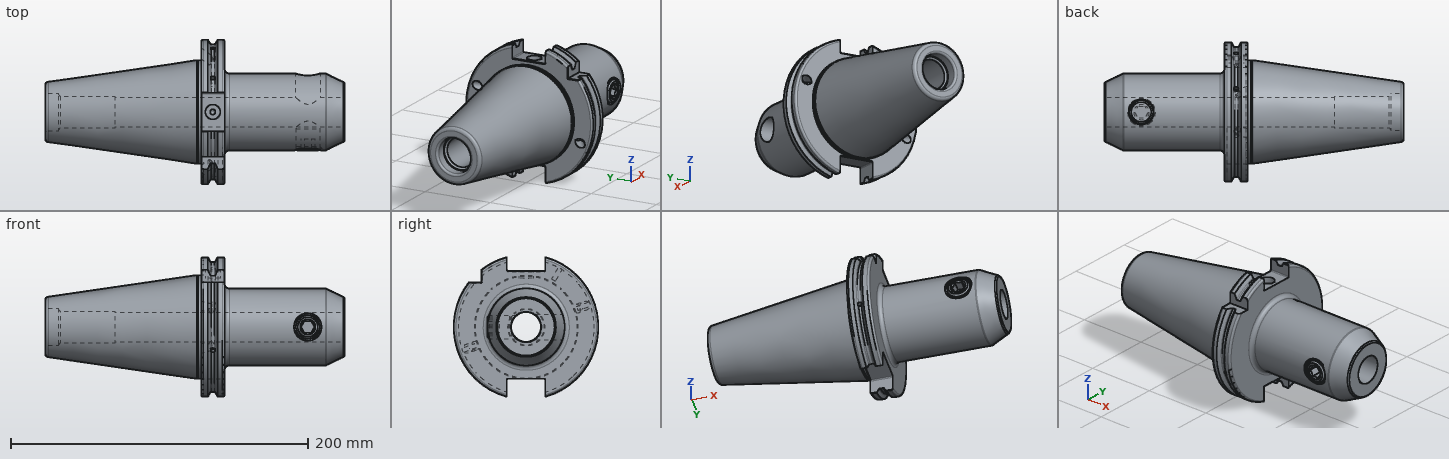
import cadquery as cq
import math


taper_length = 101.75
gauge_radius = 69.85 / 2
taper_ratio = 7 / 24
tail_radius = gauge_radius - taper_length * taper_ratio / 2
tail_fillet = 2.5

relief_start = 0.4
relief_width = 0.9
relief_radius = gauge_radius - 0.6

flange_left = 3.2
flange_right = 19.1
flange_radius = 97.5 / 2
rim_fillet = 1.5
groove_x = 11.1
groove_floor_radius = 91.25 / 2
groove_mouth_width = 6.7
groove_flank_angle = 30
groove_fillet = 1.0

nose_radius = 26.0
nose_end = 100.0
nose_cone_start = 87.0
nose_tip_radius = 20.2
nose_tip_chamfer = 1.0
nose_cone_end = nose_end - nose_tip_chamfer
shoulder_fillet = 1.5
neck_fillet = 3.0

tool_bore_radius = 10.0
thread_bore_radius = 10.5
thread_bore_depth = 47.0
pilot_radius = 12.5
pilot_depth = 8.7
pilot_fillet = 1.6
thread_lead_in = 1.5

slot_width = 25.7
upper_slot_floor = 37.7
lower_slot_floor = 35.0
slot_corner_fillet = 0.6
notch_offset = 30.0
face_bevel = 0.5
slot_mouth_chamfer = 0.5
chip_pocket_diameter = 10.0
chip_pocket_depth = 4.7
chip_drill_diameter = 3.6
drill_point_half_angle = 59

coolant_angle = 20
coolant_pitch_radius = 42.0
coolant_diameter = 6.0
coolant_slant = 38
coolant_depth = 9.0
groove_hole_diameter = 3.0
groove_hole_depth = 9.0
index_hole_angle = 60

screw_x = 75.0
screw_radius = 8.0
screw_length = 16.0
screw_chamfer = 1.3
recess_radius = 9.3
recess_depth = 1.7
far_hole_radius = 8.5
hex_across_flats = 8.0
hex_depth = 8.0
hex_lead_in_radius = 5.2

flange_middle = (flange_left + flange_right) / 2
flange_width = flange_right - flange_left
past_flange = 1.0
past_rim = 1.0
selection_margin = 0.1


def edges_between(x_start, x_end, radius):
    """Selector for edges lying within a span of X and within a radius of the axis."""
    reach = radius + selection_margin
    return cq.selectors.BoxSelector(
        (x_start - selection_margin, -reach, -reach),
        (x_end + selection_margin, reach, reach),
        boundingbox=True,
    )


def turned_body():
    rim_left = flange_left + rim_fillet
    rim_right = flange_right - rim_fillet
    rim_edge = flange_radius - rim_fillet
    profile = (
        cq.Workplane("XZ")
        .moveTo(-taper_length, 0)
        .lineTo(-taper_length, tail_radius)
        .lineTo(0, gauge_radius)
        .lineTo(relief_start, gauge_radius)
        .lineTo(relief_start, relief_radius)
        .lineTo(relief_start + relief_width, relief_radius)
        .lineTo(relief_start + relief_width, gauge_radius)
        .lineTo(flange_left, gauge_radius)
        .lineTo(flange_left, rim_edge)
        .radiusArc((rim_left, flange_radius), rim_fillet)
        .lineTo(rim_right, flange_radius)
        .radiusArc((flange_right, rim_edge), rim_fillet)
        .lineTo(flange_right, nose_radius + neck_fillet)
        .radiusArc((flange_right + neck_fillet, nose_radius), -neck_fillet)
        .lineTo(nose_cone_start, nose_radius)
        .lineTo(nose_cone_end, nose_tip_radius)
        .lineTo(nose_end, nose_tip_radius - nose_tip_chamfer)
        .lineTo(nose_end, 0)
        .close()
    )
    body = profile.revolve(360, (0, 0, 0), (1, 0, 0))
    body = body.faces("<X").edges().fillet(tail_fillet)
    nose_shoulder = edges_between(nose_cone_start, nose_cone_start, nose_radius)
    return body.edges(nose_shoulder).fillet(shoulder_fillet)


def gripper_groove():
    depth = flange_radius - groove_floor_radius
    slope = math.tan(math.radians(groove_flank_angle))
    mouth = groove_mouth_width / 2 + past_rim * slope
    floor = groove_mouth_width / 2 - depth * slope
    ring = (
        cq.Workplane("XZ")
        .moveTo(groove_x - mouth, flange_radius + past_rim)
        .lineTo(groove_x - floor, groove_floor_radius)
        .lineTo(groove_x + floor, groove_floor_radius)
        .lineTo(groove_x + mouth, flange_radius + past_rim)
        .close()
        .revolve(360, (0, 0, 0), (1, 0, 0))
    )
    floor_edges = edges_between(groove_x - floor, groove_x + floor, groove_floor_radius)
    return ring.edges(floor_edges).edges("%CIRCLE").fillet(groove_fillet)


def central_bore():
    pilot_end = pilot_depth - taper_length
    thread_end = thread_bore_depth - taper_length
    return (
        cq.Workplane("XZ")
        .moveTo(-taper_length, 0)
        .lineTo(-taper_length, pilot_radius + pilot_fillet)
        .radiusArc((-taper_length + pilot_fillet, pilot_radius), -pilot_fillet)
        .lineTo(pilot_end, pilot_radius)
        .lineTo(pilot_end, thread_bore_radius + thread_lead_in)
        .lineTo(pilot_end + thread_lead_in, thread_bore_radius)
        .lineTo(thread_end, thread_bore_radius)
        .lineTo(thread_end, tool_bore_radius)
        .lineTo(nose_end, tool_bore_radius)
        .lineTo(nose_end, 0)
        .close()
        .revolve(360, (0, 0, 0), (1, 0, 0))
    )


def drive_slot(floor, turn):
    """Flared slot through the flange with its floor at Z = floor, then turned about the axis."""
    half_width = slot_width / 2
    rim_height = math.sqrt(flange_radius**2 - half_width**2)
    flare_start = rim_height - slot_mouth_chamfer
    flare = flange_radius - flare_start
    profile = (
        cq.Workplane("YZ", origin=(flange_left - past_flange, 0, 0))
        .moveTo(-half_width, floor)
        .lineTo(half_width, floor)
        .lineTo(half_width, flare_start)
        .lineTo(half_width + flare, flange_radius)
        .lineTo(-half_width - flare, flange_radius)
        .lineTo(-half_width, flare_start)
        .close()
    )
    slot = profile.extrude(flange_width + 2 * past_flange)
    slot = slot.edges("|X and <Z").fillet(slot_corner_fillet)
    return slot.rotate((0, 0, 0), (1, 0, 0), turn)


def corner_notch():
    side = flange_radius
    middle = notch_offset + side / 2
    return (
        cq.Workplane("XY")
        .box(flange_width + 2 * past_flange, side, side)
        .translate((flange_middle, -middle, middle))
    )


def floor_bevel(level, y_start, y_end, turn):
    """Bevel where the left flange face meets a floor at Z = level, then turned about the axis."""
    return (
        cq.Workplane("XZ", origin=(flange_left, y_start, level))
        .moveTo(0, 0)
        .lineTo(0, -face_bevel)
        .lineTo(face_bevel, 0)
        .close()
        .extrude(y_start - y_end)
        .rotate((0, 0, 0), (1, 0, 0), turn)
    )


def chip_pocket():
    cone_radius = chip_drill_diameter / 2
    cone_height = cone_radius / math.tan(math.radians(drill_point_half_angle))
    return (
        cq.Workplane("XZ")
        .moveTo(0, 0)
        .lineTo(chip_pocket_diameter / 2, 0)
        .lineTo(chip_pocket_diameter / 2, -chip_pocket_depth)
        .lineTo(cone_radius, -chip_pocket_depth)
        .lineTo(0, -chip_pocket_depth - cone_height)
        .close()
        .revolve(360, (0, 0, 0), (0, 1, 0))
        .translate((groove_x, 0, upper_slot_floor))
    )


def radial_hole(angle):
    """Hole into the groove floor, at an angle from +Y toward +Z about the axis."""
    length = groove_hole_depth + flange_radius - groove_floor_radius
    hole = cq.Solid.makeCylinder(
        groove_hole_diameter / 2,
        length,
        cq.Vector(groove_x, flange_radius, 0),
        cq.Vector(0, -1, 0),
    )
    return cq.Workplane(hole).rotate((0, 0, 0), (1, 0, 0), angle)


def slanted_hole(angle):
    """Coolant outlet in the left flange face, leaning toward the axis with depth."""
    slant = math.radians(coolant_slant)
    inward = cq.Vector(math.cos(slant), -math.sin(slant), 0)
    mouth = cq.Vector(flange_left, coolant_pitch_radius, 0)
    overrun = coolant_diameter
    hole = cq.Solid.makeCylinder(
        coolant_diameter / 2, coolant_depth + overrun, mouth - inward * overrun, inward
    )
    return cq.Workplane(hole).rotate((0, 0, 0), (1, 0, 0), angle)


def cross_hole():
    """Screw hole through both walls, with a cone-bottomed recess at -Y and a wider far end at +Y."""
    recess_end = recess_depth - nose_radius
    cone_depth = recess_radius - screw_radius
    return (
        cq.Workplane("XY")
        .moveTo(0, -nose_radius)
        .lineTo(recess_radius, -nose_radius)
        .lineTo(recess_radius, recess_end)
        .lineTo(screw_radius, recess_end + cone_depth)
        .lineTo(screw_radius, 0)
        .lineTo(far_hole_radius, 0)
        .lineTo(far_hole_radius, nose_radius)
        .lineTo(0, nose_radius)
        .close()
        .revolve(360, (0, 0, 0), (0, 1, 0))
        .translate((screw_x, 0, 0))
    )


def make_holder():
    holder = turned_body().cut(drive_slot(upper_slot_floor, 0))
    holder = holder.cut(drive_slot(lower_slot_floor, 180))
    holder = holder.cut(corner_notch())
    holder = holder.cut(gripper_groove())
    holder = holder.cut(central_bore())
    slot_flat = slot_width / 2 - slot_corner_fillet
    holder = holder.cut(floor_bevel(upper_slot_floor, -slot_flat, slot_flat, 0))
    holder = holder.cut(floor_bevel(lower_slot_floor, -slot_flat, slot_flat, 180))
    holder = holder.cut(floor_bevel(notch_offset, -flange_radius, -notch_offset, 0))
    holder = holder.cut(floor_bevel(notch_offset, notch_offset, flange_radius, 90))
    holder = holder.cut(chip_pocket())
    for angle in (coolant_angle, coolant_angle + 180):
        holder = holder.cut(slanted_hole(angle))
        holder = holder.cut(radial_hole(angle))
    holder = holder.cut(radial_hole(index_hole_angle))
    return holder.cut(cross_hole())


def make_clamping_screw():
    screw = (
        cq.Workplane("XZ")
        .circle(screw_radius)
        .extrude(screw_length)
        .edges()
        .chamfer(screw_chamfer)
    )
    hex_corner_diameter = hex_across_flats / math.cos(math.radians(30))
    socket = (
        cq.Workplane("XZ", origin=(0, -screw_length, 0))
        .polygon(6, hex_corner_diameter)
        .extrude(-hex_depth)
    )
    lead_in = cq.Workplane(
        cq.Solid.makeCone(
            hex_lead_in_radius,
            0,
            hex_lead_in_radius,
            cq.Vector(0, -screw_length, 0),
            cq.Vector(0, 1, 0),
        )
    )
    screw = screw.cut(socket).cut(lead_in)
    return screw.translate((screw_x, screw_length - nose_radius, 0))


holder = make_holder()
clamping_screw = make_clamping_screw()

result = cq.Compound.makeCompound([holder.val(), clamping_screw.val()])